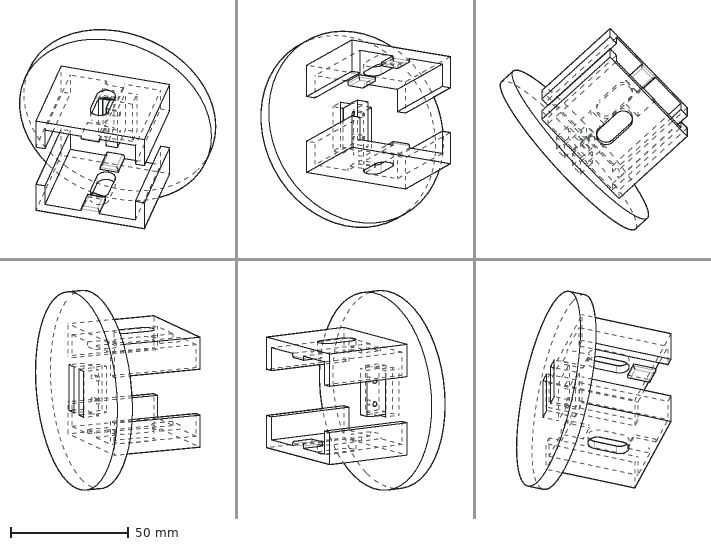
import cadquery as cq

disc_diameter = 85.0
disc_thickness = 7.0

channel_width = 48.0
channel_length = 40.0
wall = 4.0
channel_outer_z = channel_width / 2
channel_gap = 20.0
channel_lip_z = channel_gap / 2
channel_floor_z = channel_outer_z - wall

slot_width = 8.0
slot_length = 18.0

pad_width = 8.0
pad_length = 10.0
pad_height = 2.0
pad_round = 1.0

window_width = 15.0
window_height = channel_gap
bar_width = 5.0
bar_flare = 0.4
bar_projection = 6.0
tie_hole_diameter = 2.0
tie_hole_spacing = 10.0
tie_hole_offset = 2.0


def block(size_x, y_front, y_back, z_low, z_high):
    """Box centred on X = 0 between the given Y and Z limits."""
    base = cq.Workplane("XY", origin=(0, y_front, z_low))
    return base.box(size_x, y_back - y_front, z_high - z_low, centered=(True, False, False))


def make_disc():
    """Round flange with the rectangular window cut through it."""
    disc = cq.Workplane("XZ").circle(disc_diameter / 2).extrude(-disc_thickness)
    window = block(window_width, 0, disc_thickness, -window_height / 2, window_height / 2)
    return disc.cut(window)


def make_pad(y_front):
    """Pad on the upper channel floor, rounded along its lower edges except any that meets the disc."""
    pad = block(
        pad_width,
        y_front,
        y_front + pad_length,
        channel_floor_z - pad_height,
        channel_floor_z,
    )
    rim = pad.faces("<Z").edges()
    if y_front + pad_length >= 0:
        rim = rim.edges("not >Y")
    return rim.fillet(pad_round)


def make_upper_channel():
    """Downward-open channel with its slot and two pads."""
    body = block(channel_width, -channel_length, 0, channel_lip_z, channel_outer_z)
    hollow = block(channel_width - 2 * wall, -channel_length, 0, channel_lip_z, channel_floor_z)
    slot = (
        cq.Workplane("XY", origin=(0, -channel_length / 2, channel_floor_z))
        .slot2D(slot_length, slot_width, 90)
        .extrude(wall)
    )
    channel = body.cut(hollow).cut(slot)
    for y_front in (-channel_length, -pad_length):
        channel = channel.union(make_pad(y_front))
    return channel


def make_tie_bar():
    """Upright bar through the window, drilled across along X near the mounting face."""
    tip_z = window_height / 2
    root_z = tip_z + bar_flare
    projecting_part = (
        cq.Workplane("YZ", origin=(-bar_width / 2, 0, 0))
        .polyline([
            (-bar_projection, -tip_z),
            (0, -root_z),
            (0, root_z),
            (-bar_projection, tip_z),
        ])
        .close()
        .extrude(bar_width)
    )
    window_part = block(bar_width, 0, disc_thickness, -tip_z, tip_z)
    bar = projecting_part.union(window_part)
    holes = (
        cq.Workplane("YZ", origin=(-bar_width / 2, -tie_hole_offset, 0))
        .rarray(1, tie_hole_spacing, 1, 2)
        .circle(tie_hole_diameter / 2)
        .extrude(bar_width)
    )
    return bar.cut(holes)


upper_channel = make_upper_channel()
lower_channel = upper_channel.mirror("XY")
result = make_disc().union(upper_channel).union(lower_channel).union(make_tie_bar())